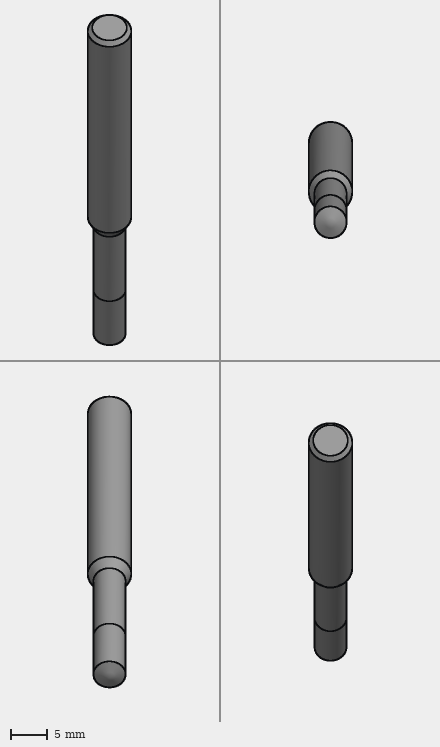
import cadquery as cq

total_length = 62.8
shank_diameter = 6.0
drill_diameter = 4.45

tip_height = 0.8
cutter_top = 9.75
neck_top = 22.8
taper_top = 24.45
end_chamfer = 0.6

shank_radius = shank_diameter / 2
drill_radius = drill_diameter / 2


def revolve_profile(points):
    """Revolve a closed (radius, height) outline about the Z axis."""
    return cq.Workplane("XZ").polyline(points).close().revolve(360, (0, 0), (0, 1))


def make_cutter():
    """Cutting end: a cylinder with a conical tip."""
    return revolve_profile([
        (0, 0),
        (drill_radius, tip_height),
        (drill_radius, cutter_top),
        (0, cutter_top),
    ])


def make_shank():
    """Neck, conical transition and gripping shank with a chamfered end."""
    return revolve_profile([
        (0, cutter_top),
        (drill_radius, cutter_top),
        (drill_radius, neck_top),
        (shank_radius, taper_top),
        (shank_radius, total_length - end_chamfer),
        (shank_radius - end_chamfer, total_length),
        (0, total_length),
    ])


cutter = make_cutter()
shank = make_shank()

result = cq.Compound.makeCompound([cutter.val(), shank.val()])